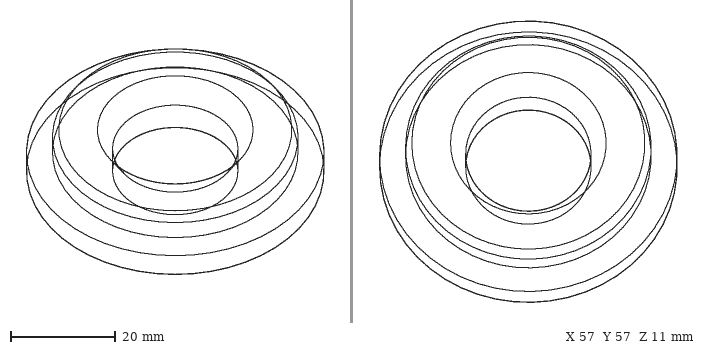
import cadquery as cq
import math

flange_diameter = 57.0
flange_height = 5.0
total_height = 11.0
boss_diameter = 47.0
chamfer_height = 2.0
chamfer_width = 1.2
bore_diameter = 24.0
seat_depth = 5.0
seat_half_angle = 30.0

flange_radius = flange_diameter / 2
boss_radius = boss_diameter / 2
bore_radius = bore_diameter / 2
seat_rim_radius = bore_radius + seat_depth * math.tan(math.radians(seat_half_angle))

section = (
    cq.Workplane("XZ")
    .moveTo(bore_radius, 0)
    .lineTo(flange_radius, 0)
    .lineTo(flange_radius, flange_height)
    .lineTo(boss_radius, flange_height)
    .lineTo(boss_radius, total_height - chamfer_height)
    .lineTo(boss_radius - chamfer_width, total_height)
    .lineTo(seat_rim_radius, total_height)
    .lineTo(bore_radius, total_height - seat_depth)
    .close()
)

result = section.revolve(360, (0, 0, 0), (0, 1, 0))